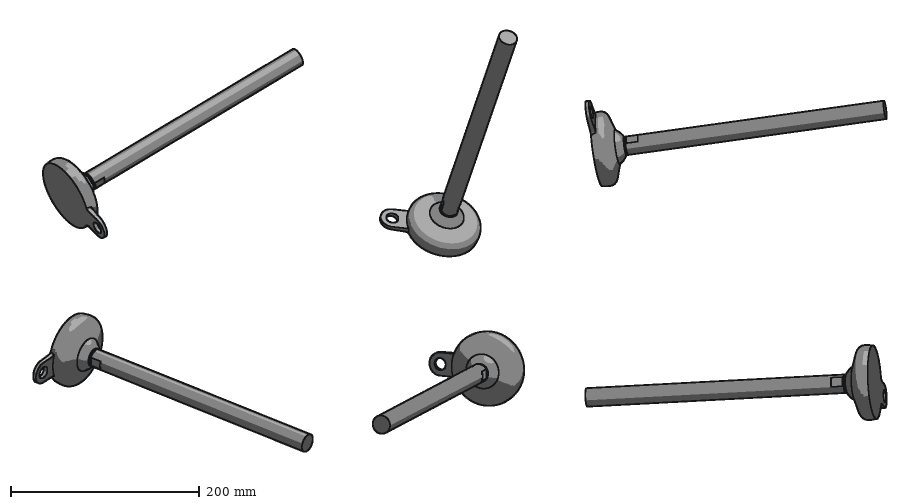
import cadquery as cq
import math

TOTAL_LENGTH = 311.5
TOTAL_WIDTH = 108.0

RIM_DIAMETER = 80.0
RIM_RADIUS = RIM_DIAMETER / 2
UNDERSIDE_RADIUS = 39.2
TAPER_HEIGHT = 5.5
RIM_CORNER_HEIGHT = 14.3
RIM_FILLET = 8.0
SEAT_RADIUS = 18.7
SEAT_HEIGHT = 21.8

EAR_WIDTH = 25.2
EAR_HALF_WIDTH = EAR_WIDTH / 2
EAR_REACH = TOTAL_WIDTH - RIM_RADIUS
EAR_ROOT_HEIGHT = TAPER_HEIGHT
EAR_TIP_HEIGHT = 3.7
EAR_HOLE_RADIUS = 6.5
EAR_ROOT_FILLET = 4.7
EAR_CENTRE = EAR_REACH - EAR_HALF_WIDTH

STEM_RADIUS = 10.0
NECK_RADIUS = 8.0
DOME_TOP_RADIUS = 10.0
DOME_TOP_HEIGHT = 30.2
DOME_RADIUS = 21.5
NECK_TOP_HEIGHT = 31.5
COLLAR_HEIGHT = 32.0
FLATS_START = 33.0
FLATS_END = 45.5
WIDTH_ACROSS_FLATS = 17.0
FLATS_HALF_WIDTH = WIDTH_ACROSS_FLATS / 2


def revolve_about_y(profile):
    """Turn a closed half profile (radius, height) about the Y axis."""
    return profile.close().revolve(360, (0, 0, 0), (0, 1, 0))


def make_pad():
    profile = (
        cq.Workplane("XY")
        .lineTo(UNDERSIDE_RADIUS, 0)
        .lineTo(RIM_RADIUS, TAPER_HEIGHT)
        .lineTo(RIM_RADIUS, RIM_CORNER_HEIGHT)
        .lineTo(SEAT_RADIUS, SEAT_HEIGHT)
        .lineTo(0, SEAT_HEIGHT)
    )
    circles = revolve_about_y(profile).edges("%CIRCLE").sort(lambda edge: edge.Center().y)
    return circles[-2].fillet(RIM_FILLET)


def make_ear():
    arc_centre_z = EAR_HALF_WIDTH + EAR_ROOT_FILLET
    centre_distance = UNDERSIDE_RADIUS + EAR_ROOT_FILLET
    arc_centre_x = math.sqrt(centre_distance**2 - arc_centre_z**2)
    contact_x = arc_centre_x * UNDERSIDE_RADIUS / centre_distance
    contact_z = arc_centre_z * UNDERSIDE_RADIUS / centre_distance

    outline = (
        cq.Workplane("XZ")
        .moveTo(contact_x, -contact_z)
        .radiusArc((arc_centre_x, -EAR_HALF_WIDTH), EAR_ROOT_FILLET)
        .lineTo(EAR_CENTRE, -EAR_HALF_WIDTH)
        .threePointArc((EAR_REACH, 0), (EAR_CENTRE, EAR_HALF_WIDTH))
        .lineTo(arc_centre_x, EAR_HALF_WIDTH)
        .radiusArc((contact_x, contact_z), EAR_ROOT_FILLET)
        .close()
        .extrude(-EAR_ROOT_HEIGHT)
    )
    sloped_wedge = (
        cq.Workplane("XY")
        .lineTo(EAR_REACH, 0)
        .lineTo(EAR_REACH, EAR_TIP_HEIGHT)
        .lineTo(RIM_RADIUS, EAR_ROOT_HEIGHT)
        .lineTo(0, EAR_ROOT_HEIGHT)
        .close()
        .extrude(RIM_RADIUS, both=True)
    )
    hole = cq.Workplane("XZ").center(EAR_CENTRE, 0).circle(EAR_HOLE_RADIUS).extrude(-EAR_ROOT_HEIGHT)
    return outline.intersect(sloped_wedge).cut(hole)


def make_foot():
    return make_pad().union(make_ear())


def make_stem():
    profile = (
        cq.Workplane("XY")
        .moveTo(0, SEAT_HEIGHT)
        .lineTo(SEAT_RADIUS, SEAT_HEIGHT)
        .radiusArc((DOME_TOP_RADIUS, DOME_TOP_HEIGHT), -DOME_RADIUS)
        .lineTo(NECK_RADIUS, DOME_TOP_HEIGHT)
        .lineTo(NECK_RADIUS, NECK_TOP_HEIGHT)
        .lineTo(STEM_RADIUS, COLLAR_HEIGHT)
        .lineTo(STEM_RADIUS, TOTAL_LENGTH)
        .lineTo(0, TOTAL_LENGTH)
    )
    stem = revolve_about_y(profile)

    flats_length = FLATS_END - FLATS_START
    cut_depth = STEM_RADIUS - FLATS_HALF_WIDTH
    for side in (-1, 1):
        cutter = cq.Workplane("XY").box(cut_depth, flats_length, 2 * STEM_RADIUS)
        cutter_x = side * (FLATS_HALF_WIDTH + cut_depth / 2)
        stem = stem.cut(cutter.translate((cutter_x, FLATS_START + flats_length / 2, 0)))
    return stem


foot = make_foot()
stem = make_stem()
result = cq.Compound.makeCompound([foot.solids().val(), stem.solids().val()])